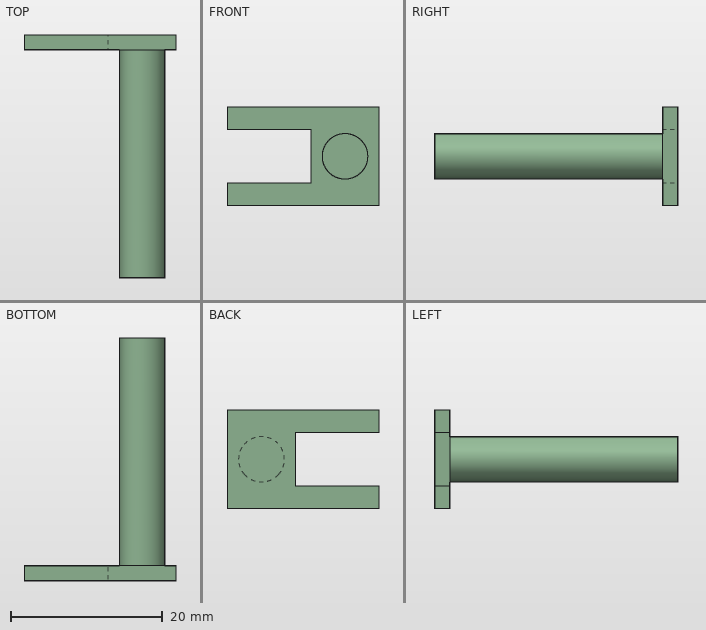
import cadquery as cq

plate_length = 20.0
plate_thickness = 2.0
plate_height = 13.0

prong_height = 3.0
slot_depth = 11.0
slot_height = plate_height - 2 * prong_height

pin_diameter = 6.0
pin_length = 30.0
pin_x = (slot_depth + plate_length) / 2
pin_z = plate_height / 2


def forked_plate():
    """Plate with its front face on Y = 0 and an open slot in its -X end."""
    plate = cq.Workplane("XY").box(plate_length, plate_thickness, plate_height, centered=False)
    slot = (
        cq.Workplane("XY")
        .box(slot_depth, plate_thickness, slot_height, centered=False)
        .translate((0, 0, prong_height))
    )
    return plate.cut(slot)


def pin():
    """Cylinder standing out from the front face of the plate."""
    return cq.Workplane("XZ").center(pin_x, pin_z).circle(pin_diameter / 2).extrude(pin_length)


result = forked_plate().union(pin())